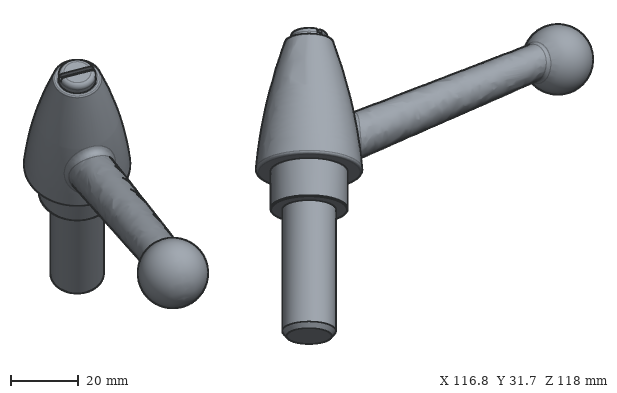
import cadquery as cq
import math

STUD_DIAMETER = 16.0
STUD_LENGTH = 40.0
STUD_CHAMFER_WIDTH = 1.3
STUD_CHAMFER_HEIGHT = 1.6
SLEEVE_DIAMETER = 23.0
SLEEVE_HEIGHT = 12.0
SLEEVE_CHAMFER = 0.3

HUB_BASE_RADIUS = 15.9
HUB_MIDDLE_RADIUS = 12.9
HUB_MIDDLE_Z = 32.4
HUB_TOP_RADIUS = 7.1
HUB_TOP_Z = 53.2
HUB_BASE_FILLET = 0.8
HUB_TOP_FILLET = 0.5

RECESS_DIAMETER = 11.2
RECESS_DEPTH = 1.0
RECESS_FILLET = 0.5
SCREW_DIAMETER = 11.0
SCREW_TOP_Z = 56.0
SCREW_FILLET = 1.5
SLOT_WIDTH = 1.6
SLOT_DEPTH = 1.6

BALL_RADIUS = 10.5
BALL_X = 90.5
BALL_TOP_Z = 78.0
BALL_Z = BALL_TOP_Z - BALL_RADIUS

ARM_ANGLE = 30.0
ARM_ROOT_Z = 17.4
ARM_AXIS = cq.Vector(math.cos(math.radians(ARM_ANGLE)), 0, math.sin(math.radians(ARM_ANGLE)))
ARM_ROOT_WIDTH = 14.64
ARM_ROOT_THICKNESS = 14.2
ARM_TIP_WIDTH = 12.0
ARM_TIP_THICKNESS = 10.7
ARM_START = 9.0
ARM_END = BALL_X / math.cos(math.radians(ARM_ANGLE)) - BALL_RADIUS / 2
ARM_HUB_FILLET = 2.0
ARM_BALL_FILLET = 1.5


def make_stud():
    """Stud with a lead chamfer at its free end."""
    stud = cq.Workplane("XY").workplane(offset=-STUD_LENGTH).circle(STUD_DIAMETER / 2).extrude(STUD_LENGTH)
    return stud.faces("<Z").chamfer(STUD_CHAMFER_HEIGHT, STUD_CHAMFER_WIDTH)


def make_sleeve():
    """Plain cylinder between the stud and the hub."""
    sleeve = cq.Workplane("XY").circle(SLEEVE_DIAMETER / 2).extrude(SLEEVE_HEIGHT)
    return sleeve.faces("<Z").edges().chamfer(SLEEVE_CHAMFER)


def make_hub():
    """Revolved hub whose side is one convex arc, with a rounded recess in its top."""
    hub = (
        cq.Workplane("XZ")
        .moveTo(0, SLEEVE_HEIGHT)
        .lineTo(HUB_BASE_RADIUS, SLEEVE_HEIGHT)
        .threePointArc((HUB_MIDDLE_RADIUS, HUB_MIDDLE_Z), (HUB_TOP_RADIUS, HUB_TOP_Z))
        .lineTo(0, HUB_TOP_Z)
        .close()
        .revolve(360, (0, 0), (0, 1))
        .rotate((0, 0, 0), (0, 0, 1), 180)
    )
    hub = hub.faces("<Z").edges().fillet(HUB_BASE_FILLET)
    hub = hub.faces(">Z").edges().fillet(HUB_TOP_FILLET)
    hub = hub.faces(">Z").workplane(origin=(0, 0, HUB_TOP_Z)).hole(RECESS_DIAMETER, RECESS_DEPTH)
    return hub.faces(">Z").edges(cq.selectors.RadiusNthSelector(0)).fillet(RECESS_FILLET)


def arm_point(distance):
    """Point on the arm axis at a distance from the hub axis."""
    return cq.Vector(0, 0, ARM_ROOT_Z) + ARM_AXIS * distance


def make_arm():
    """Bar with an elliptical section tapering evenly from hub to ball."""
    start_share = ARM_START / ARM_END
    start_width = ARM_ROOT_WIDTH + (ARM_TIP_WIDTH - ARM_ROOT_WIDTH) * start_share
    start_thickness = ARM_ROOT_THICKNESS + (ARM_TIP_THICKNESS - ARM_ROOT_THICKNESS) * start_share
    start_plane = cq.Plane(origin=arm_point(ARM_START), xDir=(0, 1, 0), normal=ARM_AXIS)
    return (
        cq.Workplane(start_plane)
        .ellipse(start_width / 2, start_thickness / 2)
        .workplane(offset=ARM_END - ARM_START)
        .ellipse(ARM_TIP_WIDTH / 2, ARM_TIP_THICKNESS / 2)
        .loft(ruled=True)
    )


def make_ball():
    """Ball knob, centred a little below the arm axis."""
    return cq.Workplane("XY").sphere(BALL_RADIUS).translate((BALL_X, 0, BALL_Z))


def fillet_arm_joint(body, distance, radius):
    """Round the joint line that encircles the arm near a distance along its axis."""
    joint = cq.selectors.NearestToPointSelector(arm_point(distance).toTuple())
    return body.edges(joint).fillet(radius)


def make_screw():
    """Round-edged screw head with a driver slot along Y."""
    floor_z = HUB_TOP_Z - RECESS_DEPTH
    height = SCREW_TOP_Z - floor_z
    screw = cq.Workplane("XY").workplane(offset=floor_z).circle(SCREW_DIAMETER / 2).extrude(height)
    screw = screw.faces(">Z").edges().fillet(SCREW_FILLET)
    slot = (
        cq.Workplane("XY")
        .workplane(offset=SCREW_TOP_Z - SLOT_DEPTH)
        .rect(SLOT_WIDTH, SCREW_DIAMETER)
        .extrude(SLOT_DEPTH)
    )
    return screw.cut(slot)


lever = make_hub().union(make_arm())
lever = fillet_arm_joint(lever, HUB_BASE_RADIUS, ARM_HUB_FILLET)
lever = lever.union(make_ball())
lever = fillet_arm_joint(lever, ARM_END, ARM_BALL_FILLET)
result = lever.union(make_screw()).union(make_sleeve()).union(make_stud())